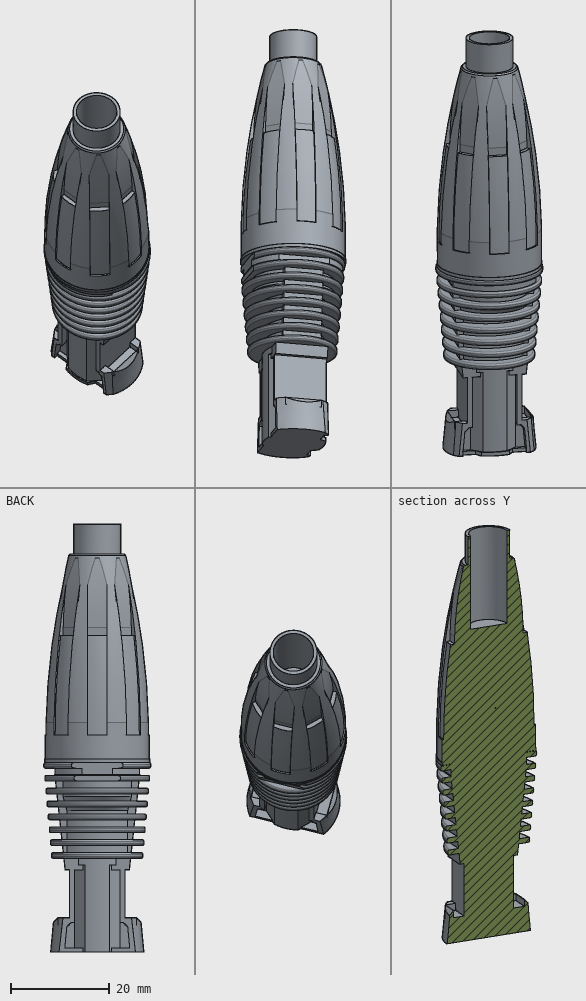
import cadquery as cq
import math

total_height = 87.03
tube_radius = 4.8
bore_radius = 4.1
bore_depth = 20.0

cap_bottom = 38.6
rim_top = 39.3
rim_radius = 10.71
skirt_radius = 10.62
skirt_top = 46.7
mid_radius = 9.0
mid_height = 65.5
nose_radius = 5.8
nose_height = 80.7
nose_chamfer = 0.3

flute_count = 8
flute_width = 4.0
flute_bottom = 44.2
channel_bottom_radius = 10.3
channel_mid_radius = 9.92
channel_mid_height = 54.3
channel_top_radius = 8.75
ledge_height = 64.4
pocket_top = 66.0
pocket_radius = 7.8
scoop_mid_radius = 7.24
scoop_mid_height = 73.0
scoop_tip_radius = 5.92
scoop_tip_height = 80.2
cutter_reach = 15.0

disc_count = 8
disc_pitch = 2.62
disc_thickness = 1.2
disc_edge_round = 0.4
top_disc_center = 37.98
top_disc_half_x = 10.9
bottom_disc_half_x = 9.3
disc_offset_y = 0.2
upper_disc_flat_y = 9.6
flat_discs = 2

collar_radius = 10.1
collar_half_x = 8.6
collar_bottom = 36.15

core_top_half_y = 8.4
core_top_half_x = 6.95
core_low_half_y = 6.2
core_low_half_x = 6.2
core_corner_y = 4.04
core_cone_top = 31.65
core_cone_bottom = 28.8
core_bottom = 17.7

plate_half_y = 5.46
plate_top_half_x = 8.65
plate_bottom_half_x = 6.55
shoulder_bottom = 16.7
shoulder_top = 19.2
neck_half_x = 5.68

spine_half_x = 2.47
core_bulge = core_low_half_y - core_corner_y
core_arc_radius = (core_low_half_x**2 + core_bulge**2) / (2 * core_bulge)
spine_crest_y = core_low_half_y
spine_edge_y = spine_crest_y - core_arc_radius + math.sqrt(core_arc_radius**2 - spine_half_x**2)
spine_flank_x = 3.65
spine_flank_y = 4.8
groove_outer_x = 4.65
groove_floor_y = 3.8
groove_bottom = 0.8

foot_height = 7.0
foot_bottom_radius = 9.5
foot_top_radius = 8.85
foot_bevel_x = 8.0
foot_notch_half_y = 3.8
foot_notch_bottom = 5.5

facet_bottom_start_y = 4.5
facet_top_start_y = 4.15
facet_bottom_end_x = 7.4
facet_top_end_x = 6.7

foot_pocket_bottom_x = 6.6
foot_pocket_top_x = 6.2
foot_pocket_height = 6.0
foot_pocket_bevel = 0.9

foot_rim_crest_y = 6.5
foot_rim_half_x = 3.8
foot_rim_recess_y = 4.7
foot_rim_crest_edge_x = 2.9
foot_rim_crest_edge_y = 6.1


def box(half_x, y_min, y_max, z_min, z_max):
    """Box centred on X between the given Y and Z limits."""
    size = (2 * half_x, y_max - y_min, z_max - z_min)
    return cq.Workplane("XY").box(*size, centered=(True, False, False)).translate((0, y_min, z_min))


def cap_body():
    """Solid of revolution of the cap, without flutes."""
    outline = (
        cq.Workplane("XZ")
        .moveTo(0, cap_bottom)
        .lineTo(rim_radius, cap_bottom)
        .lineTo(rim_radius, rim_top)
        .lineTo(skirt_radius, rim_top)
        .lineTo(skirt_radius, skirt_top)
        .threePointArc((mid_radius, mid_height), (nose_radius, nose_height))
        .lineTo(nose_radius - nose_chamfer, nose_height + nose_chamfer)
        .lineTo(0, nose_height + nose_chamfer)
        .close()
    )
    return outline.revolve(360, (0, 0, 0), (0, 1, 0))


def channel_core():
    """Round core left standing behind the lower channels of the flutes."""
    outline = (
        cq.Workplane("XZ")
        .moveTo(0, flute_bottom)
        .lineTo(channel_bottom_radius, flute_bottom)
        .threePointArc((channel_mid_radius, channel_mid_height), (channel_top_radius, ledge_height))
        .lineTo(0, ledge_height)
        .close()
    )
    return outline.revolve(360, (0, 0, 0), (0, 1, 0))


def flute_cutter():
    """Shallow lower channel plus the deeper scoop above the ledge, on the +X side."""
    channel = (
        cq.Workplane("XY")
        .box(cutter_reach, flute_width, ledge_height - flute_bottom, centered=(False, True, False))
        .translate((0, 0, flute_bottom))
        .cut(channel_core())
    )
    scoop = (
        cq.Workplane("XZ")
        .moveTo(pocket_radius, ledge_height)
        .lineTo(pocket_radius, pocket_top)
        .threePointArc((scoop_mid_radius, scoop_mid_height), (scoop_tip_radius, scoop_tip_height))
        .lineTo(cutter_reach, scoop_tip_height)
        .lineTo(cutter_reach, ledge_height)
        .close()
        .extrude(flute_width / 2, both=True)
    )
    return channel.union(scoop)


def cap():
    """Fluted cap with the bored cable tube on top."""
    body = cap_body()
    cutter = flute_cutter()
    for index in range(flute_count):
        body = body.cut(cutter.rotate((0, 0, 0), (0, 0, 1), index * 360 / flute_count))
    tube = cq.Workplane("XY").workplane(offset=skirt_top).circle(tube_radius).extrude(total_height - skirt_top)
    bore = (
        cq.Workplane("XY")
        .workplane(offset=total_height - bore_depth)
        .circle(bore_radius)
        .extrude(bore_depth)
    )
    return body.union(tube).cut(bore)


def seal_disc(index):
    """One seal disc, slightly shallower towards -Y; the uppermost ones are cut flat on the +Y side."""
    taper = (top_disc_half_x - bottom_disc_half_x) / (disc_count - 1)
    half_x = top_disc_half_x - index * taper
    z_min = top_disc_center - index * disc_pitch - disc_thickness / 2
    disc = (
        cq.Workplane("XY")
        .workplane(offset=z_min)
        .center(0, disc_offset_y)
        .ellipse(half_x, half_x - disc_offset_y)
        .extrude(disc_thickness)
        .edges()
        .fillet(disc_edge_round)
    )
    if index < flat_discs:
        disc = disc.cut(box(cutter_reach, upper_disc_flat_y, cutter_reach, z_min, z_min + disc_thickness))
    return disc


def collar():
    """Round collar with flat sides under the cap."""
    height = cap_bottom - collar_bottom
    barrel = cq.Workplane("XY").workplane(offset=collar_bottom).circle(collar_radius).extrude(height)
    window = box(collar_half_x, -cutter_reach, upper_disc_flat_y, collar_bottom, cap_bottom)
    return barrel.intersect(window)


def lens(plane, half_x, half_y):
    """Lens outline: flat ends at +-X and bulging arcs at +-Y."""
    return (
        plane.moveTo(-half_x, -core_corner_y)
        .threePointArc((0, -half_y), (half_x, -core_corner_y))
        .lineTo(half_x, core_corner_y)
        .threePointArc((0, half_y), (-half_x, core_corner_y))
        .close()
    )


def core():
    """Wide upper core, tapered transition and narrow lower core."""
    upper = lens(cq.Workplane("XY").workplane(offset=core_cone_top), core_top_half_x, core_top_half_y)
    upper = upper.extrude(collar_bottom - core_cone_top)
    lower = lens(cq.Workplane("XY").workplane(offset=core_bottom), core_low_half_x, core_low_half_y)
    lower = lower.extrude(core_cone_bottom - core_bottom)
    cone = lens(cq.Workplane("XY").workplane(offset=core_cone_bottom), core_low_half_x, core_low_half_y)
    cone = lens(
        cone.workplane(offset=core_cone_top - core_cone_bottom), core_top_half_x, core_top_half_y
    ).loft(ruled=True)
    return upper.union(cone).union(lower)


def side_plates():
    """Tapered slab through the core, wider in Y at the shoulder above the neck."""
    slab = (
        cq.Workplane("XZ")
        .polyline(
            [
                (-plate_bottom_half_x, shoulder_bottom),
                (plate_bottom_half_x, shoulder_bottom),
                (plate_top_half_x, collar_bottom),
                (-plate_top_half_x, collar_bottom),
            ]
        )
        .close()
        .extrude(plate_half_y, both=True)
    )
    shoulder = box(cutter_reach, -plate_half_y, plate_half_y, shoulder_bottom, shoulder_top)
    web = box(cutter_reach, -core_corner_y, core_corner_y, shoulder_bottom, collar_bottom)
    return slab.intersect(shoulder.union(web))


def foot():
    """Conical foot trimmed flat on both Y sides and bevelled at both X ends, notched behind the bevels."""
    cone = (
        cq.Workplane("XY")
        .circle(foot_bottom_radius)
        .workplane(offset=foot_height)
        .circle(foot_top_radius)
        .loft()
    )
    bevel_bottom_x = foot_bevel_x + foot_height
    outline = (
        cq.Workplane("XZ")
        .polyline(
            [
                (-bevel_bottom_x, 0),
                (bevel_bottom_x, 0),
                (foot_bevel_x, foot_height),
                (-foot_bevel_x, foot_height),
            ]
        )
        .close()
        .extrude(plate_half_y, both=True)
    )
    notch = box(foot_bevel_x, -foot_notch_half_y, foot_notch_half_y, foot_notch_bottom, foot_height)
    facet = facet_cutter()
    return cone.intersect(outline).cut(notch).cut(facet).cut(facet.mirror("YZ"))


def facet_outline(plane, radius, start_y, end_x):
    """Triangle outside the facet line of the +X -Y corner of the foot."""
    start_x = math.sqrt(radius**2 - start_y**2)
    return plane.polyline([(start_x, -start_y), (end_x, -plate_half_y), (start_x, -plate_half_y)]).close()


def facet_cutter():
    """Tapered wedge that flattens the +X -Y corner of the foot."""
    base = facet_outline(cq.Workplane("XY"), foot_bottom_radius, facet_bottom_start_y, facet_bottom_end_x)
    top_plane = base.workplane(offset=foot_height)
    return facet_outline(top_plane, foot_top_radius, facet_top_start_y, facet_top_end_x).loft(ruled=True)


def spine():
    """Spine with a rounded crest and bulging flanks on both broad sides."""
    return (
        cq.Workplane("XY")
        .moveTo(-groove_outer_x, -groove_floor_y)
        .threePointArc((-spine_flank_x, -spine_flank_y), (-spine_half_x, -spine_edge_y))
        .threePointArc((0, -spine_crest_y), (spine_half_x, -spine_edge_y))
        .threePointArc((spine_flank_x, -spine_flank_y), (groove_outer_x, -groove_floor_y))
        .lineTo(groove_outer_x, groove_floor_y)
        .threePointArc((spine_flank_x, spine_flank_y), (spine_half_x, spine_edge_y))
        .threePointArc((0, spine_crest_y), (-spine_half_x, spine_edge_y))
        .threePointArc((-spine_flank_x, spine_flank_y), (-groove_outer_x, groove_floor_y))
        .close()
        .extrude(core_bottom)
    )


def groove_cutter():
    """Grooves beside the spine on the -Y side, widening into pockets in the foot."""
    pocket_corner_x = foot_pocket_top_x - foot_pocket_bevel
    depth = plate_half_y - groove_floor_y
    outline = (
        cq.Workplane("XZ", origin=(0, -groove_floor_y, 0))
        .moveTo(-foot_pocket_bottom_x, groove_bottom)
        .lineTo(-foot_pocket_top_x, foot_pocket_height - foot_pocket_bevel)
        .lineTo(-pocket_corner_x, foot_pocket_height)
        .lineTo(-groove_outer_x, foot_pocket_height)
        .lineTo(-groove_outer_x, shoulder_bottom)
        .lineTo(groove_outer_x, shoulder_bottom)
        .lineTo(groove_outer_x, foot_pocket_height)
        .lineTo(pocket_corner_x, foot_pocket_height)
        .lineTo(foot_pocket_top_x, foot_pocket_height - foot_pocket_bevel)
        .lineTo(foot_pocket_bottom_x, groove_bottom)
        .close()
    )
    return outline.extrude(depth)


def foot_rim():
    """Bulged rim at the foot of the spine on the -Y side."""
    return (
        cq.Workplane("XY")
        .moveTo(-foot_rim_half_x, -foot_rim_recess_y)
        .lineTo(-foot_rim_crest_edge_x, -foot_rim_crest_edge_y)
        .threePointArc((0, -foot_rim_crest_y), (foot_rim_crest_edge_x, -foot_rim_crest_edge_y))
        .lineTo(foot_rim_half_x, -foot_rim_recess_y)
        .close()
        .extrude(groove_bottom)
    )


def neck_and_foot():
    """Grooved neck standing on the foot."""
    body = foot().union(box(neck_half_x, -plate_half_y, plate_half_y, 0, shoulder_bottom))
    groove = groove_cutter()
    body = body.cut(groove).cut(groove.mirror("XZ"))
    rim_clearance = box(
        foot_pocket_bottom_x, -plate_half_y, -foot_rim_recess_y, 0, groove_bottom
    )
    return body.cut(rim_clearance).union(foot_rim()).union(spine())


result = cap().union(collar()).union(core()).union(side_plates()).union(neck_and_foot())
for disc_index in range(disc_count):
    result = result.union(seal_disc(disc_index))